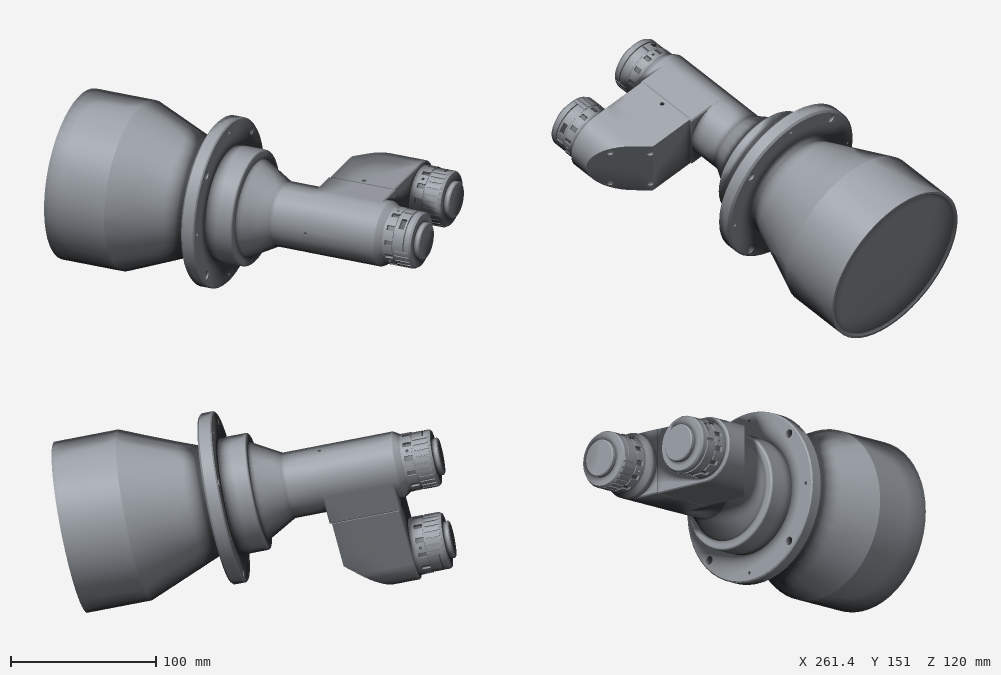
import cadquery as cq
import math

barrel_radius = 60.0
barrel_length = 45.2
rim_width = 1.8
seat_chamfer = 1.4
lens_bulge = 1.0
neck_radius = 38.2
neck_start = 98.9
neck_blend = 2.6
flange_blend = 2.8
flange_start = 102.6
flange_end = 112.8
flange_front_chamfer = 1.4
flange_rear_chamfer = 0.9
shoulder_radius = 41.0
shoulder_step = 117.0
shoulder_relief = 0.2
shoulder_end = 132.9
shoulder_rounding = 1.6
rear_cone_radius = 34.6
tube_radius = 22.95
tube_start = 153.8
tube_blend = 2.4
tube_end = 231.6
nose_rounding = 1.8
nose_end = 236.2

hole_circle_radius = 54.0
mounting_hole_diameter = 6.0
pin_hole_diameter = 2.4
hole_count = 4

housing_radius = 23.0
housing_start = 177.4
housing_end = 227.7
saddle_chamfer = 0.9
block_start = 179.0
block_end = 227.0
block_axis_y = 68.0
block_edge_chamfer = 0.8
mirror_foot_y = 58.6
mirror_screw_diameter = 4.4
mirror_screw_depth = 4.0
mirror_screw_z = 15.8
mirror_screw_ys = (59.9, 79.4)
lock_hole_depth = 3.0
block_lock_x = 202.5
block_lock_y = 26.9
block_lock_diameter = 3.2
tube_lock_x = 180.5
tube_lock_diameter = 2.4

adapter_radius = 20.2
adapter_x = nose_end
side_adapter_x = 228.5
side_adapter_turn = -92.0
slot_start = 2.2
groove_start = 7.9
groove_end = 9.4
groove_depth = 0.7
ring_end = 21.4
ring_bevel_length = 2.2
ring_bevel_depth = 1.3
mount_radius = 13.0
mount_end = 25.24
mount_chamfer = 0.7
adapter_root = -2.5
cutter_margin = 1.0

slot_count = 12
slot_first_angle = 20.0
slot_width = 3.6
slot_depth = 2.0
set_screw_angles = (95.0, 215.0, 335.0)
set_screw_diameter = 2.2
set_screw_depth = 2.0
set_screw_x = 4.8

flute_count = 13
flute_first_angle = 194.0
flute_last_angle = 346.0
flute_width = 1.5
flute_depth = 0.7
clamp_depth = 0.5
clamp_slit_start = 15.7
clamp_slit_width = 1.1
clamp_slit_depth = 1.2
clamp_first_angle = -5.0
clamp_sweep = 190.0
clamp_split_angle = 95.0
clamp_split_width = 1.8
clamp_screw_angle = 126.0
clamp_screw_diameter = 4.4
clamp_screw_length = 8.0
clamp_screw_radius = 18.6
clamp_screw_x = 12.5


def revolve_about_x(profile):
    """Turn a closed (x, radius) profile around the X axis."""
    return cq.Workplane("XY").polyline(profile).close().revolve(360, (0, 0, 0), (1, 0, 0))


def round_rim(body, x, radius, rounding):
    """Round the circular edge that lies at the given station and radius."""
    rim = body.edges("%CIRCLE").filter(
        lambda edge: math.isclose(edge.Center().x, x) and math.isclose(edge.radius(), radius)
    )
    return rim.fillet(rounding)


def ring_sector(start, end, outer_radius, inner_radius, sweep):
    """Ring sector about X; the sweep (degrees) starts at +Y and runs through +Z."""
    outline = [(start, inner_radius), (end, inner_radius), (end, outer_radius), (start, outer_radius)]
    return cq.Workplane("XY").polyline(outline).close().revolve(sweep, (0, 0, 0), (1, 0, 0))


def turn_about_x(body, angle):
    """Rotate a body about the X axis."""
    return body.rotate((0, 0, 0), (1, 0, 0), angle)


def make_barrel():
    """Lens housing, flange, shoulder and tube with a shallow domed front lens."""
    seat_radius = barrel_radius - rim_width
    lens_radius = seat_radius - seat_chamfer
    relief_radius = shoulder_radius - shoulder_relief
    lens_center = (seat_chamfer - lens_bulge, 0)
    lens_sphere = (lens_radius**2 + lens_bulge**2) / (2 * lens_bulge)
    half_angle = math.asin(lens_radius / lens_sphere) / 2
    lens_middle = (
        lens_center[0] + lens_sphere * (1 - math.cos(half_angle)),
        lens_sphere * math.sin(half_angle),
    )
    barrel = (
        cq.Workplane("XY")
        .moveTo(*lens_center)
        .threePointArc(lens_middle, (seat_chamfer, lens_radius))
        .lineTo(0, seat_radius)
        .lineTo(0, barrel_radius)
        .lineTo(barrel_length, barrel_radius)
        .lineTo(neck_start, neck_radius)
        .lineTo(flange_start, neck_radius)
        .lineTo(flange_start, barrel_radius - flange_front_chamfer)
        .lineTo(flange_start + flange_front_chamfer, barrel_radius)
        .lineTo(flange_end - flange_rear_chamfer, barrel_radius)
        .lineTo(flange_end, barrel_radius - flange_rear_chamfer)
        .lineTo(flange_end, relief_radius)
        .lineTo(shoulder_step, relief_radius)
        .lineTo(shoulder_step, shoulder_radius)
        .lineTo(shoulder_end, shoulder_radius)
        .lineTo(shoulder_end, rear_cone_radius)
        .lineTo(tube_start, tube_radius)
        .lineTo(housing_start, tube_radius)
        .lineTo(housing_start, housing_radius)
        .lineTo(tube_end, housing_radius)
        .lineTo(nose_end, adapter_radius)
        .lineTo(nose_end, 0)
        .close()
        .revolve(360, (0, 0, 0), (1, 0, 0))
    )
    barrel = round_rim(barrel, neck_start, neck_radius, neck_blend)
    barrel = round_rim(barrel, flange_start, neck_radius, flange_blend)
    barrel = round_rim(barrel, shoulder_end, shoulder_radius, shoulder_rounding)
    barrel = round_rim(barrel, tube_start, tube_radius, tube_blend)
    return round_rim(barrel, tube_end, housing_radius, nose_rounding)


def make_flange_holes():
    """Mounting holes on the diagonals and pin holes on the Y and Z axes."""
    face = cq.Workplane("YZ", origin=(flange_start, 0, 0))
    spacing = 360 / hole_count
    thickness = flange_end - flange_start
    mounting = face.polarArray(hole_circle_radius, spacing / 2, 360, hole_count)
    mounting = mounting.circle(mounting_hole_diameter / 2).extrude(thickness)
    pins = face.polarArray(hole_circle_radius, 0, 360, hole_count)
    pins = pins.circle(pin_hole_diameter / 2).extrude(thickness)
    return mounting.union(pins)


def make_housing():
    """Square saddle on the tube and the round-ended block that carries the side camera."""
    saddle_length = housing_end - housing_start
    saddle = (
        cq.Workplane("XY", origin=(housing_start, 0, 0))
        .box(saddle_length, housing_radius, 2 * housing_radius, centered=(False, False, True))
        .faces("|Z")
        .edges("not <Y")
        .chamfer(saddle_chamfer)
    )

    block = (
        cq.Workplane("YZ", origin=(block_start, 0, 0))
        .moveTo(housing_radius, -housing_radius)
        .lineTo(block_axis_y, -housing_radius)
        .threePointArc((block_axis_y + housing_radius, 0), (block_axis_y, housing_radius))
        .lineTo(housing_radius, housing_radius)
        .close()
        .extrude(block_end - block_start)
        .faces(">X")
        .edges("not <Y")
        .chamfer(block_edge_chamfer)
    )
    mirror_rise = block_axis_y + housing_radius - mirror_foot_y
    corner = (
        cq.Workplane("XY", origin=(0, 0, -housing_radius))
        .moveTo(block_start, mirror_foot_y)
        .lineTo(block_start + mirror_rise, mirror_foot_y + mirror_rise)
        .lineTo(block_start, mirror_foot_y + mirror_rise)
        .close()
        .extrude(2 * housing_radius)
    )
    return saddle.union(block.cut(corner))


def make_housing_holes():
    """Lock screw holes in the block and tube, and screw holes square to the 45 degree face."""
    holes = (
        cq.Workplane("XY", origin=(block_lock_x, block_lock_y, housing_radius - lock_hole_depth))
        .circle(block_lock_diameter / 2)
        .extrude(lock_hole_depth)
    )
    tube_lock = (
        cq.Workplane("XZ", origin=(tube_lock_x, lock_hole_depth - housing_radius, 0))
        .circle(tube_lock_diameter / 2)
        .extrude(lock_hole_depth)
    )
    holes = holes.union(tube_lock)
    inward = cq.Vector(1, -1, 0).normalized()
    for y in mirror_screw_ys:
        for z in (-mirror_screw_z, mirror_screw_z):
            mouth = cq.Vector(block_start + y - mirror_foot_y, y, z)
            start = mouth - inward * mirror_screw_depth
            screw = cq.Solid.makeCylinder(mirror_screw_diameter / 2, 2 * mirror_screw_depth, start, inward)
            holes = holes.union(cq.Workplane(screw))
    return holes


def make_adapter():
    """Camera adapter along +X with its slotted collar, clamp ring and mount."""
    body = revolve_about_x([
        (adapter_root, 0),
        (adapter_root, adapter_radius),
        (groove_start, adapter_radius),
        (groove_start, adapter_radius - groove_depth),
        (groove_end, adapter_radius - groove_depth),
        (groove_end, adapter_radius),
        (ring_end - ring_bevel_length, adapter_radius),
        (ring_end, adapter_radius - ring_bevel_depth),
        (ring_end, mount_radius),
        (mount_end - mount_chamfer, mount_radius),
        (mount_end, mount_radius - mount_chamfer),
        (mount_end, 0),
    ])
    outside = adapter_radius + cutter_margin

    slot_length = groove_start - slot_start
    slot = cq.Workplane("XY").box(slot_length, outside, slot_width, centered=(False, False, True))
    slot = slot.translate((slot_start, adapter_radius - slot_depth, 0))
    for index in range(slot_count):
        body = body.cut(turn_about_x(slot, slot_first_angle + index * 360 / slot_count))

    set_screw = (
        cq.Workplane("XZ", origin=(set_screw_x, adapter_radius, 0))
        .circle(set_screw_diameter / 2)
        .extrude(set_screw_depth)
    )
    for angle in set_screw_angles:
        body = body.cut(turn_about_x(set_screw, angle))

    flute = cq.Workplane("XY").box(ring_end - groove_end, outside, flute_width, centered=(False, False, True))
    flute = flute.translate((groove_end, adapter_radius - flute_depth, 0))
    flute_pitch = (flute_last_angle - flute_first_angle) / (flute_count - 1)
    for index in range(flute_count):
        body = body.cut(turn_about_x(flute, flute_first_angle + index * flute_pitch))

    clamp_radius = adapter_radius - clamp_depth
    relief = ring_sector(groove_end, ring_end, outside, clamp_radius, clamp_sweep)
    body = body.cut(turn_about_x(relief, clamp_first_angle))
    slit_end = clamp_slit_start + clamp_slit_width
    slit = ring_sector(clamp_slit_start, slit_end, outside, clamp_radius - clamp_slit_depth, clamp_sweep)
    body = body.cut(turn_about_x(slit, clamp_first_angle))

    split_length = clamp_slit_start - groove_end
    split = cq.Workplane("XY").box(split_length, outside, clamp_split_width, centered=(False, False, True))
    split = split.translate((groove_end, clamp_radius - clamp_slit_depth, 0))
    body = body.cut(turn_about_x(split, clamp_split_angle))

    clamp_screw = (
        cq.Workplane("XY", origin=(clamp_screw_x, clamp_screw_radius, -clamp_screw_length / 2))
        .circle(clamp_screw_diameter / 2)
        .extrude(clamp_screw_length)
    )
    return body.cut(turn_about_x(clamp_screw, clamp_screw_angle))


adapter = make_adapter()
side_adapter = turn_about_x(adapter, side_adapter_turn).translate((side_adapter_x, block_axis_y, 0))

result = make_barrel().cut(make_flange_holes())
result = result.union(make_housing()).cut(make_housing_holes())
result = result.union(adapter.translate((adapter_x, 0, 0))).union(side_adapter)